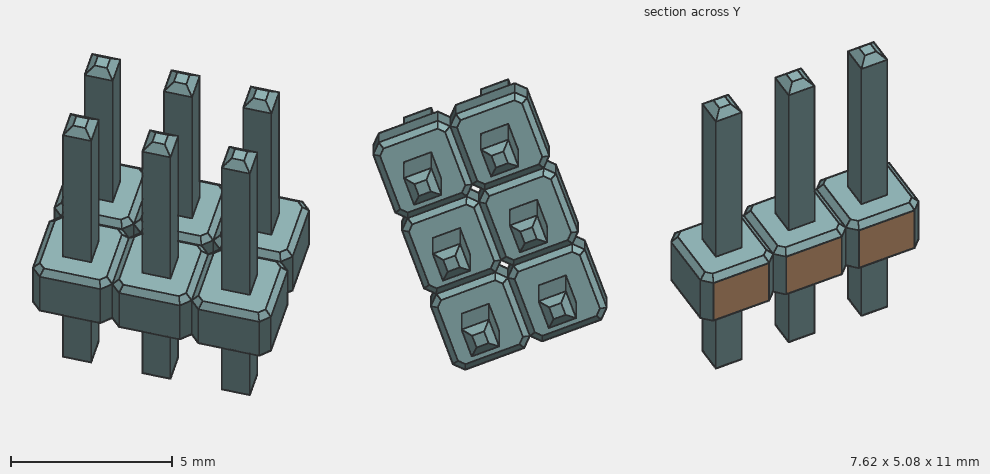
import cadquery as cq

columns = 3
rows = 2
pitch = 2.54

pin_length = 11.0
tail_length = 3.0
block_height = 2.0

pin_width = 0.9
tip_chamfer = 0.25

corner_chamfer = 0.3
rim_chamfer = 0.2


def make_block():
    """Insulator block with cut vertical corners and bevelled top and bottom rims."""
    block = cq.Workplane("XY").box(pitch, pitch, block_height, centered=(True, True, False))
    block = block.edges("|Z").chamfer(corner_chamfer)
    block = block.faces("<Z or >Z").edges().chamfer(rim_chamfer)
    return block.translate((0, 0, tail_length))


def make_pin():
    """Square pin with a truncated pyramid at each end."""
    pin = cq.Workplane("XY").box(pin_width, pin_width, pin_length, centered=(True, True, False))
    return pin.faces("<Z or >Z").edges().chamfer(tip_chamfer)


cell = make_block().union(make_pin())
result = cq.Workplane("XY")
for column in range(columns):
    for row in range(rows):
        x = (column - (columns - 1) / 2) * pitch
        y = (row - (rows - 1) / 2) * pitch
        result = result.union(cell.translate((x, y, 0)))